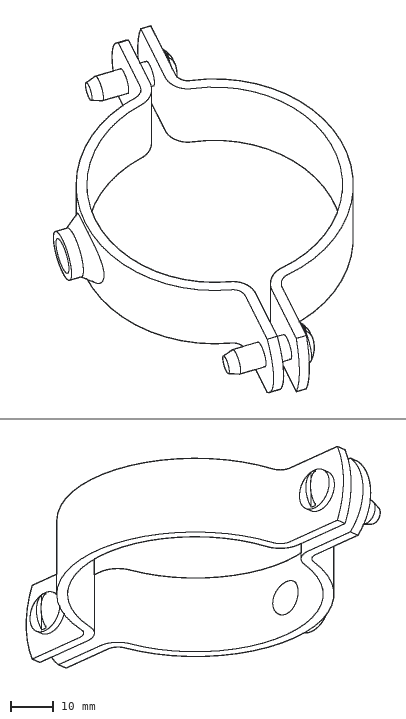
import cadquery as cq
import math

pipe_radius = 30.0
strap_thickness = 2.5
strap_width = 19.4
ring_radius = pipe_radius + strap_thickness

overall_length = 106.0
flange_end = overall_length / 2
bend_radius = 3.2
back_face_y = 1.0
front_face_y = -3.0
back_corner_x = 51.0
front_corner_x = 48.8

boss_end_y = -38.3
boss_diameter = 12.0
boss_bore = 8.5
boss_collar_length = 3.0
boss_flare_diameter = 19.9

screw_spacing = 90.0
shank_diameter = 6.0
tip_diameter = 4.3
tip_length = 2.5
screw_end_y = -14.4
head_diameter = 10.0
head_rim_height = 1.7
head_dome_height = 2.1
slot_width = 1.5
slot_depth = 1.8


def cylinder_y(diameter, y_start, y_end, x=0.0):
    """Round bar parallel to Y between two Y positions."""
    return (
        cq.Workplane("XZ", origin=(x, y_start, 0))
        .circle(diameter / 2)
        .extrude(y_start - y_end)
    )


def strap_band(face_distance):
    """Bent band on the +Y side, with its mating faces at y = face_distance."""
    outer_face = face_distance + strap_thickness
    bend_y = outer_face + bend_radius
    bend_x = math.sqrt((ring_radius + bend_radius) ** 2 - bend_y**2)
    ring_angle = math.atan2(bend_y, bend_x)
    flange_angle = -math.pi / 2
    ring_side_angle = ring_angle - math.pi
    mid_angle = (flange_angle + ring_side_angle) / 2

    def bend_point(side, radius, angle):
        return (side * (bend_x + radius * math.cos(angle)), bend_y + radius * math.sin(angle))

    small = bend_radius
    large = bend_radius + strap_thickness
    profile = (
        cq.Workplane("XY", origin=(0, 0, -strap_width / 2))
        .moveTo(flange_end, outer_face)
        .lineTo(bend_x, outer_face)
        .threePointArc(bend_point(1, small, mid_angle), bend_point(1, small, ring_side_angle))
        .threePointArc((0, ring_radius), bend_point(-1, small, ring_side_angle))
        .threePointArc(bend_point(-1, small, mid_angle), (-bend_x, outer_face))
        .lineTo(-flange_end, outer_face)
        .lineTo(-flange_end, face_distance)
        .lineTo(-bend_x, face_distance)
        .threePointArc(bend_point(-1, large, mid_angle), bend_point(-1, large, ring_side_angle))
        .threePointArc((0, pipe_radius), bend_point(1, large, ring_side_angle))
        .threePointArc(bend_point(1, large, mid_angle), (bend_x, face_distance))
        .lineTo(flange_end, face_distance)
        .close()
    )
    return profile.extrude(strap_width)


def rounded_ends(corner_x):
    """Block through Y whose two ends are arcs; it trims the flange ends."""
    half_width = strap_width / 2
    return (
        cq.Workplane("XZ")
        .moveTo(-corner_x, -half_width)
        .lineTo(corner_x, -half_width)
        .threePointArc((flange_end, 0), (corner_x, half_width))
        .lineTo(-corner_x, half_width)
        .threePointArc((-flange_end, 0), (-corner_x, -half_width))
        .close()
        .extrude(ring_radius, both=True)
    )


def make_strap(face_distance, corner_x):
    """Half clamp on the +Y side with a screw hole in each flange."""
    strap = strap_band(face_distance).intersect(rounded_ends(corner_x))
    outer_face = face_distance + strap_thickness
    for side in (-1, 1):
        screw_x = side * screw_spacing / 2
        hole = cylinder_y(shank_diameter, outer_face, face_distance, screw_x)
        strap = strap.cut(hole)
    return strap


def make_boss():
    """Solid flared boss, fitted to the outside of the ring."""
    flare_start_y = boss_end_y + boss_collar_length
    boss = (
        cq.Workplane("XY")
        .moveTo(0, boss_end_y)
        .lineTo(boss_diameter / 2, boss_end_y)
        .lineTo(boss_diameter / 2, flare_start_y)
        .lineTo(boss_flare_diameter / 2, -pipe_radius)
        .lineTo(0, -pipe_radius)
        .close()
        .revolve(360, (0, 0, 0), (0, 1, 0))
    )
    ring_space = cq.Workplane("XY").circle(ring_radius).extrude(strap_width, both=True)
    return boss.cut(ring_space)


def make_front_strap():
    """Front half clamp: a strap mirrored to -Y, with a boss bored through to the inside."""
    strap = make_strap(-front_face_y, front_corner_x).mirror("XZ")
    bore = cylinder_y(boss_bore, 0, boss_end_y)
    return strap.union(make_boss()).cut(bore)


def make_screw(x):
    """Slotted dome-head screw seated on the back flange."""
    seat_y = back_face_y + strap_thickness
    rim_y = seat_y + head_rim_height
    top_y = rim_y + head_dome_height
    shank_radius = shank_diameter / 2
    head_radius = head_diameter / 2
    dome_radius = (head_radius**2 + head_dome_height**2) / (2 * head_dome_height)
    dome_mid_x = head_radius / 2
    dome_mid_y = top_y - dome_radius + math.sqrt(dome_radius**2 - dome_mid_x**2)
    body = (
        cq.Workplane("XY")
        .moveTo(0, screw_end_y)
        .lineTo(tip_diameter / 2, screw_end_y)
        .lineTo(shank_radius, screw_end_y + tip_length)
        .lineTo(shank_radius, seat_y)
        .lineTo(head_radius, seat_y)
        .lineTo(head_radius, rim_y)
        .threePointArc((dome_mid_x, dome_mid_y), (0, top_y))
        .close()
        .revolve(360, (0, 0, 0), (0, 1, 0))
    )
    slot = cq.Workplane("XY").box(slot_width, 2 * slot_depth, head_diameter).translate((0, top_y, 0))
    return body.cut(slot).translate((x, 0, 0))


back_strap = make_strap(back_face_y, back_corner_x)
front_strap = make_front_strap()
screws = [make_screw(side * screw_spacing / 2) for side in (-1, 1)]

result = cq.Compound.makeCompound(
    [back_strap.val(), front_strap.val(), *[screw.val() for screw in screws]]
)